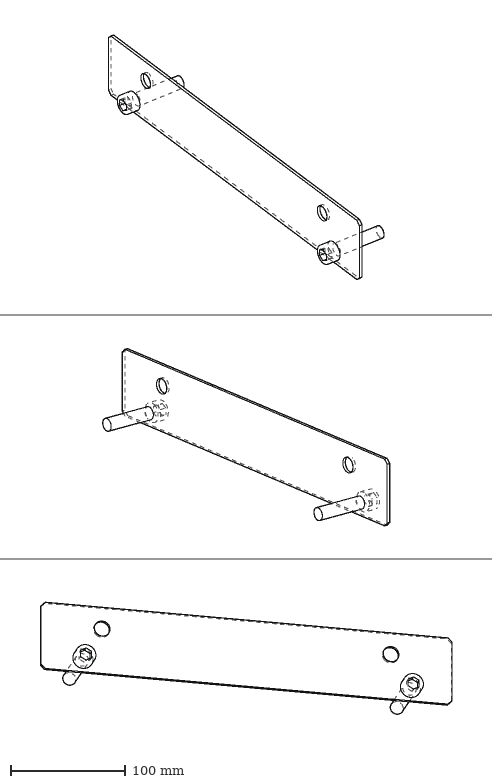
import cadquery as cq
import math

plate_length = 370.0
plate_height = 62.0
plate_thickness = 3.0
corner_chamfer = 3.7

hole_diameter = 14.0
hole_spacing = 260.0
hole_height = 42.0

screw_spacing = 295.0
screw_height = 12.2
screw_total_length = 62.0
head_diameter = 18.0
head_length = 12.0
head_edge_radius = 1.0
shank_diameter = 12.0
socket_across_flats = 10.0
socket_depth = 6.0


def make_plate():
    plate = (
        cq.Workplane("XY")
        .box(plate_length, plate_thickness, plate_height, centered=(True, False, False))
        .edges("|Y")
        .chamfer(corner_chamfer)
    )
    holes = (
        cq.Workplane("XZ")
        .pushPoints([(side * hole_spacing / 2, hole_height) for side in (-1, 1)])
        .circle(hole_diameter / 2)
        .extrude(-plate_thickness)
    )
    return plate.cut(holes)


def make_screw(x):
    """Screw along +Y, with its head seated on the front of the plate."""
    head_face = cq.Workplane("XZ", origin=(x, -head_length, screw_height))
    head = (
        head_face.circle(head_diameter / 2)
        .extrude(-head_length)
        .faces("<Y")
        .edges()
        .fillet(head_edge_radius)
    )
    shank = head_face.circle(shank_diameter / 2).extrude(-screw_total_length)
    socket_across_corners = socket_across_flats / math.cos(math.pi / 6)
    socket = (
        head_face.transformed(rotate=(0, 0, 90))
        .polygon(6, socket_across_corners)
        .extrude(-socket_depth)
    )
    return head.union(shank).cut(socket)


result = make_plate()
for side in (-1, 1):
    result = result.union(make_screw(side * screw_spacing / 2))